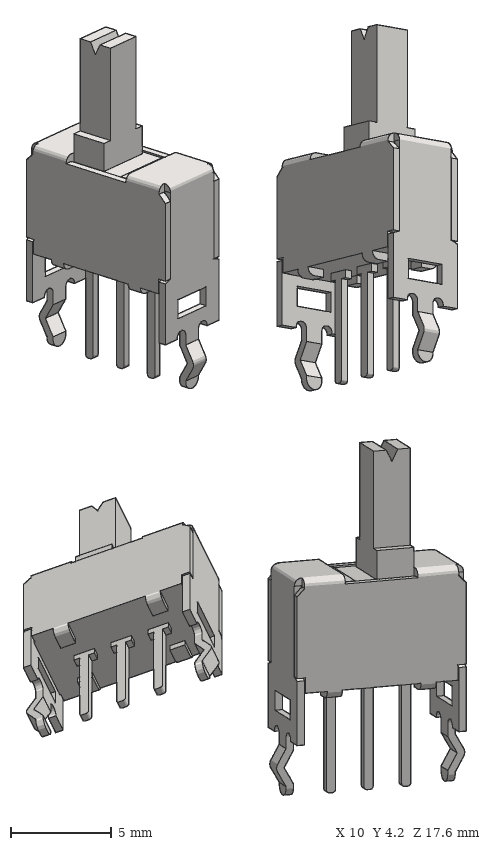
import cadquery as cq
import math

sheet = 0.4
round_margin = 0.002
bend_radius = sheet - round_margin
cover_length = 9.0
cover_depth = 4.2
cover_top = 5.85
corner_relief = 0.05
opening_length = 3.86
half_length = cover_length / 2
half_depth = cover_depth / 2
plate_top = cover_top - sheet
inner_length = cover_length - 2 * sheet
inner_depth = cover_depth - 2 * sheet

wall_bottom = -2.65
ear_top = 0.79
ear_slope_drop = 0.14
ear_clearance = 0.05
wall_gap = 0.009
window_width = 2.2
window_height = 1.02
window_top = -0.53
leg_width = 1.0
leg_bend_top = -3.26
leg_span = 10.0
leg_bulge = leg_span / 2 - half_length
leg_slope = math.radians(60)
leg_tip = -5.65
relief_radius = 0.33
relief_center_z = -2.61

tab_width = 0.8
tab_center_x = 2.5
tab_reach = 1.0

pin_pitch = 2.0
pin_width = 0.5
pin_thickness = 0.4
pin_tip = -5.7
pin_tip_radius = 0.18
shoulder_width = 1.1

slider_left = -opening_length / 2
slider_length = 1.97
slider_top = 11.85
slider_shoulder_top = 6.86
slider_shoulder_depth = 3.0
slider_stem_depth = 2.0
groove_width = 0.61
groove_depth = 0.6
floor_drop = 0.09
ledge_length = 0.68
ledge_depth = 3.3


def box(x_min, x_max, y_min, y_max, z_min, z_max):
    size = (x_max - x_min, y_max - y_min, z_max - z_min)
    return cq.Workplane("XY").box(*size, centered=False).translate((x_min, y_min, z_min))


def centered_box(length, depth, z_min, z_max):
    return box(-length / 2, length / 2, -depth / 2, depth / 2, z_min, z_max)


def both_ends(right_half):
    return right_half.union(right_half.mirror("YZ"))


def both_sides(front_half):
    return front_half.union(front_half.mirror("XZ"))


def make_core():
    """Solid inside of the body, with the shallow slider floor and its ledge."""
    core = centered_box(inner_length, inner_depth, 0, plate_top)
    opening_end = opening_length / 2
    floor = centered_box(opening_length, inner_depth, plate_top - floor_drop, plate_top)
    ledge = box(
        opening_end - ledge_length, opening_end,
        -ledge_depth / 2, ledge_depth / 2,
        plate_top - floor_drop, plate_top,
    )
    return core.cut(floor).union(ledge)


def make_top():
    """Top sheet with a quarter-round bend along each edge, open corners and the slider opening."""
    across = centered_box(inner_length, cover_depth, plate_top, cover_top)
    across = across.edges("|X and >Z").fillet(bend_radius)
    along = centered_box(cover_length, inner_depth, plate_top, cover_top)
    along = along.edges("|Y and >Z").fillet(bend_radius)
    opening = centered_box(opening_length, cover_depth, plate_top, cover_top)
    return across.union(along).cut(opening)


def make_front_plate():
    """Side plate with sloped top corners, notched at the bottom to clear the wall ears."""
    corner_x = half_length - sheet
    slope_top = plate_top - corner_relief
    notch_x = corner_x - ear_clearance
    right_edge = [
        (notch_x, 0),
        (notch_x, ear_top),
        (half_length, ear_top),
        (half_length, slope_top - sheet),
        (corner_x, slope_top),
        (corner_x, plate_top),
    ]
    left_edge = [(-x, z) for x, z in reversed(right_edge)]
    plate = cq.Workplane("XZ", origin=(0, -half_depth + sheet, 0))
    return plate.polyline(right_edge + left_edge).close().extrude(sheet)


def make_front_tab():
    """Tab bent around the lower edge of the plate and lying under the body."""
    tab = box(
        tab_center_x - tab_width / 2, tab_center_x + tab_width / 2,
        -half_depth, -half_depth + tab_reach, -sheet, 0,
    )
    return tab.edges("|X and <Z and <Y").fillet(bend_radius)


def make_wall():
    """Right end wall with two sloped ears, a window and a relief beside each side of the leg."""
    inner = inner_depth / 2 - wall_gap
    outline = [
        (-half_depth, wall_bottom),
        (half_depth, wall_bottom),
        (half_depth, ear_top - ear_slope_drop),
        (inner, ear_top),
        (inner, plate_top),
        (-inner, plate_top),
        (-inner, ear_top),
        (-half_depth, ear_top - ear_slope_drop),
    ]
    wall = cq.Workplane("YZ", origin=(half_length - sheet, 0, 0)).polyline(outline).close().extrude(sheet)
    window = box(
        half_length - sheet, half_length,
        -window_width / 2, window_width / 2,
        window_top - window_height, window_top,
    )
    relief_y = leg_width / 2 + relief_radius
    relief_plane = cq.Workplane("YZ", origin=(half_length - sheet, 0, 0))
    round_reliefs = (
        relief_plane.pushPoints([(-relief_y, relief_center_z), (relief_y, relief_center_z)])
        .circle(relief_radius)
        .extrude(sheet)
    )
    straight_relief = box(
        half_length - sheet, half_length,
        leg_width / 2, leg_width / 2 + 2 * relief_radius,
        wall_bottom, relief_center_z,
    )
    return wall.cut(window).cut(round_reliefs).cut(both_sides(straight_relief))


def make_leg():
    """Right snap-in leg: a strip bulging outwards, with a half-round tip."""
    inner_x = half_length - sheet
    bulge_height = leg_bulge * math.tan(leg_slope)
    bulge_z = leg_bend_top - bulge_height
    bend_bottom = bulge_z - bulge_height
    miter = sheet * math.tan((math.pi / 2 - leg_slope) / 2)
    offset_x = sheet * math.sin(leg_slope)
    offset_z = sheet * math.cos(leg_slope)
    bulge_x = inner_x + leg_bulge
    strip = (
        cq.Workplane("XZ", origin=(0, leg_width / 2, 0))
        .moveTo(inner_x, wall_bottom)
        .lineTo(inner_x, leg_bend_top)
        .lineTo(bulge_x, bulge_z)
        .lineTo(inner_x, bend_bottom)
        .lineTo(inner_x, leg_tip)
        .lineTo(half_length, leg_tip)
        .lineTo(half_length, bend_bottom - miter)
        .lineTo(bulge_x + offset_x, bulge_z - offset_z)
        .threePointArc((bulge_x + sheet, bulge_z), (bulge_x + offset_x, bulge_z + offset_z))
        .lineTo(half_length, leg_bend_top + miter)
        .lineTo(half_length, wall_bottom)
        .close()
        .extrude(leg_width)
    )
    return strip.edges("|X and <Z").fillet(leg_width / 2 - round_margin)


def make_pin(x):
    """Terminal pin with a wider shoulder and rounded tip corners."""
    pin = centered_box(pin_width, pin_thickness, pin_tip, 0)
    pin = pin.edges("|Y and <Z").fillet(pin_tip_radius)
    shoulder = centered_box(shoulder_width, pin_thickness, -sheet, 0)
    return pin.union(shoulder).translate((x, 0, 0))


def make_slider():
    """Stepped slider with a V groove across its top."""
    slider_right = slider_left + slider_length
    shoulder = box(
        slider_left, slider_right,
        -slider_shoulder_depth / 2, slider_shoulder_depth / 2,
        plate_top - floor_drop, slider_shoulder_top,
    )
    stem = box(
        slider_left, slider_right,
        -slider_stem_depth / 2, slider_stem_depth / 2,
        slider_shoulder_top, slider_top,
    )
    groove_x = slider_left + slider_length / 2
    groove = (
        cq.Workplane("XZ", origin=(0, slider_stem_depth / 2, 0))
        .moveTo(groove_x - groove_width / 2, slider_top)
        .lineTo(groove_x, slider_top - groove_depth)
        .lineTo(groove_x + groove_width / 2, slider_top)
        .close()
        .extrude(slider_stem_depth)
    )
    return shoulder.union(stem).cut(groove)


result = make_core().union(make_top()).union(both_sides(make_front_plate()))
result = result.union(both_sides(both_ends(make_front_tab())))
result = result.union(both_ends(make_wall().union(make_leg())))
for pin_index in (-1, 0, 1):
    result = result.union(make_pin(pin_index * pin_pitch))
result = result.union(make_slider())